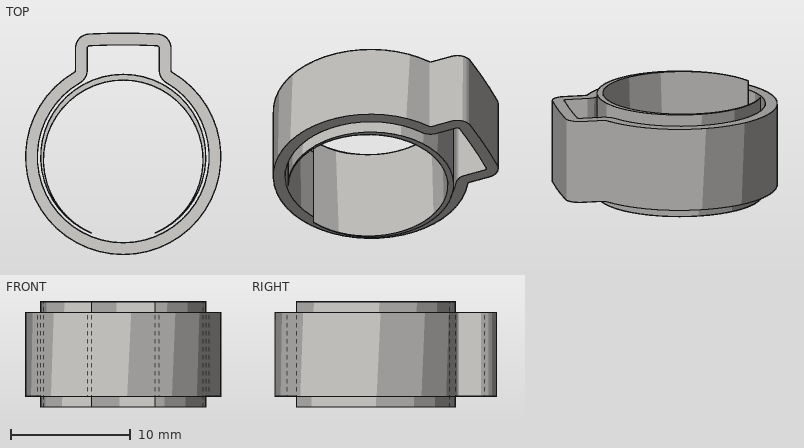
import cadquery as cq
import math

BAND_RADIUS = 8.15
BAND_THICKNESS = 1.0
BAND_WIDTH = 7.0
EAR_WIDTH = 7.99
EAR_TOP = 10.34
EAR_CROWN = 0.15
BEND_INNER_RADIUS = 0.2
BEND_OUTER_RADIUS = BEND_INNER_RADIUS + BAND_THICKNESS

EAR_ROOT = math.sqrt(BAND_RADIUS**2 - (EAR_WIDTH / 2)**2)

LINER_RADIUS = 6.9
LINER_MAX_THICKNESS = 0.5
LINER_WIDTH = 8.8
LINER_GAP = 5.29
LINER_BORE_RADIUS = LINER_RADIUS - LINER_MAX_THICKNESS / 2
LINER_BORE_OFFSET = LINER_BORE_RADIUS - LINER_RADIUS


def slab(width):
    """Workplane at the lower end of a body that is centred on Z = 0."""
    return cq.Workplane("XY", origin=(0, 0, -width / 2))


def make_ear_block():
    """Solid ear with a bowed top and rounded outer corners, rooted on the ring."""
    half_width = EAR_WIDTH / 2
    shoulder = EAR_TOP - EAR_CROWN
    return (
        slab(BAND_WIDTH)
        .moveTo(0, 0)
        .lineTo(half_width, EAR_ROOT)
        .lineTo(half_width, shoulder)
        .threePointArc((0, EAR_TOP), (-half_width, shoulder))
        .lineTo(-half_width, EAR_ROOT)
        .close()
        .extrude(BAND_WIDTH)
        .edges("|Z")
        .edges(">Y")
        .fillet(BEND_OUTER_RADIUS)
    )


def round_ear_roots(blank):
    """Fillet the two concave edges where the ear rises from the ring."""
    for side in (-1, 1):
        root_point = (side * EAR_WIDTH / 2, EAR_ROOT, 0)
        root_edge = cq.selectors.NearestToPointSelector(root_point)
        blank = blank.edges("|Z").edges(root_edge).fillet(BEND_INNER_RADIUS)
    return blank


def make_band():
    """Ring and ear as one strip of constant thickness."""
    ring = slab(BAND_WIDTH).circle(BAND_RADIUS).extrude(BAND_WIDTH)
    blank = round_ear_roots(ring.union(make_ear_block()))
    return blank.faces(">Z").wires().toPending().offset2D(-BAND_THICKNESS).cutThruAll()


def make_liner():
    """Eccentrically bored sleeve, cut open on the -Y side."""
    sleeve = slab(LINER_WIDTH).circle(LINER_RADIUS).extrude(LINER_WIDTH)
    bore = slab(LINER_WIDTH).center(0, LINER_BORE_OFFSET).circle(LINER_BORE_RADIUS).extrude(LINER_WIDTH)
    gap = slab(LINER_WIDTH).center(0, -LINER_RADIUS).rect(LINER_GAP, LINER_RADIUS).extrude(LINER_WIDTH)
    return sleeve.cut(gap).cut(bore)


band = make_band()
liner = make_liner()

result = cq.Compound.makeCompound([band.val(), liner.val()])